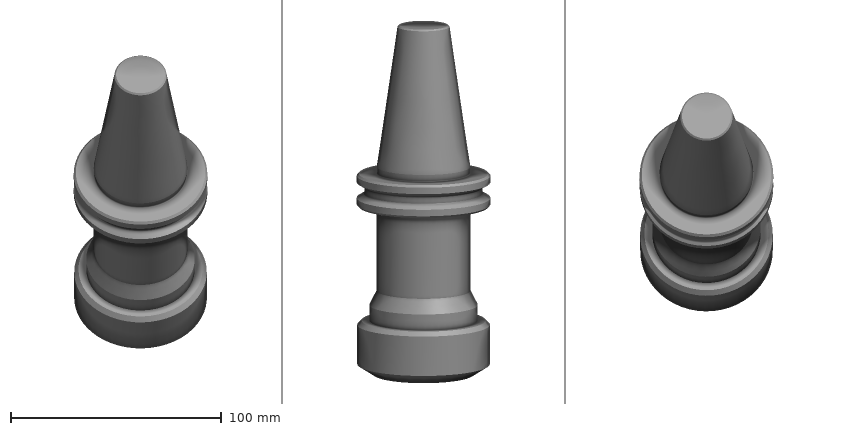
import cadquery as cq
import math

total_height = 168.4

nut_radius = 31.5
nut_face_radius = 23.9
nut_face_chamfer_height = 4.9
nut_top = 26.0
nut_top_chamfer = 2.0

collar_radius = 25.8
collar_top = 33.5
neck_radius = 22.2
neck_bottom = 40.5

flange_radius = 31.75
flange_bottom = 81.0
flange_thickness = 15.8
flange_chamfer = 1.0
groove_root_radius = 28.1
groove_root_width = 3.4
groove_wall_angle = math.radians(30)

taper_ratio = 7 / 24
gauge_radius = 22.2
gauge_offset = 3.4
tip_chamfer = 0.7

land_radius = 21.9

inner_fillet = 0.5

flange_top = flange_bottom + flange_thickness
flange_middle = flange_bottom + flange_thickness / 2
groove_root_half = groove_root_width / 2
groove_depth = flange_radius - groove_root_radius
groove_mouth_half = groove_root_half + groove_depth * math.tan(groove_wall_angle)
gauge_line = flange_top + gauge_offset
tip_radius = gauge_radius - (total_height - gauge_line) * taper_ratio / 2

nut_points = [
    (nut_face_radius, 0),
    (nut_radius, nut_face_chamfer_height),
    (nut_radius, nut_top - nut_top_chamfer),
    (nut_radius - nut_top_chamfer, nut_top),
]
shank_points = [
    (collar_radius, nut_top),
    (collar_radius, collar_top),
    (neck_radius, neck_bottom),
    (neck_radius, flange_bottom),
]
flange_points = [
    (flange_radius - flange_chamfer, flange_bottom),
    (flange_radius, flange_bottom + flange_chamfer),
    (flange_radius, flange_middle - groove_mouth_half),
    (groove_root_radius, flange_middle - groove_root_half),
    (groove_root_radius, flange_middle + groove_root_half),
    (flange_radius, flange_middle + groove_mouth_half),
    (flange_radius, flange_top - flange_chamfer),
    (flange_radius - flange_chamfer, flange_top),
]
taper_points = [
    (land_radius, flange_top),
    (land_radius, gauge_line),
    (gauge_radius, gauge_line),
    (tip_radius, total_height),
]
axis_ends = [(0, total_height), (0, 0)]

half_profile = nut_points + shank_points + flange_points + taper_points + axis_ends
body = cq.Workplane("XZ").polyline(half_profile).close().revolve(360, (0, 0, 0), (0, 1, 0))

inner_corners = [
    (land_radius, flange_top),
    (groove_root_radius, flange_middle - groove_root_half),
    (groove_root_radius, flange_middle + groove_root_half),
]
selection_margin = 0.08
for radius, height in inner_corners:
    reach = radius + selection_margin
    lowest_corner = (-reach, -reach, height - selection_margin)
    highest_corner = (reach, reach, height + selection_margin)
    corner_box = cq.selectors.BoxSelector(lowest_corner, highest_corner, boundingbox=True)
    body = body.edges(corner_box).fillet(inner_fillet)

result = body.faces(">Z").chamfer(tip_chamfer)